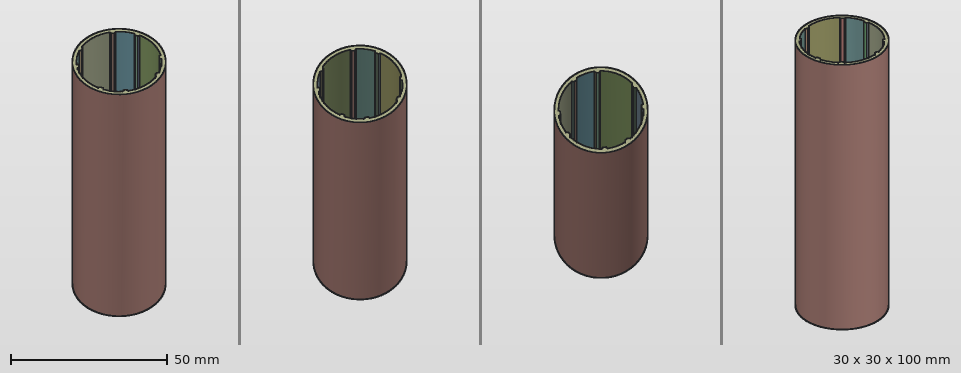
import cadquery as cq

length = 100.0
outer_diameter = 30.0
bore_diameter = 27.3

rib_height = 0.6
rib_base_width = 2.0
rib_tip_width = 1.0
rib_offset_angle = 17
diagonal_angles = (45, 135, 225, 315)

bore_radius = bore_diameter / 2
rib_tip_distance = bore_radius - rib_height
rib_root_distance = (bore_radius + outer_diameter / 2) / 2


def make_tube():
    return cq.Workplane("XY").circle(outer_diameter / 2).circle(bore_radius).extrude(length)


def make_rib(angle):
    half_base = rib_base_width / 2
    half_tip = rib_tip_width / 2
    rib = (
        cq.Workplane("XY")
        .moveTo(rib_root_distance, -half_base)
        .lineTo(bore_radius, -half_base)
        .lineTo(rib_tip_distance, -half_tip)
        .lineTo(rib_tip_distance, half_tip)
        .lineTo(bore_radius, half_base)
        .lineTo(rib_root_distance, half_base)
        .close()
        .extrude(length)
    )
    return rib.rotate((0, 0, 0), (0, 0, 1), angle)


result = make_tube()
for diagonal in diagonal_angles:
    for side in (-1, 1):
        result = result.union(make_rib(diagonal + side * rib_offset_angle))